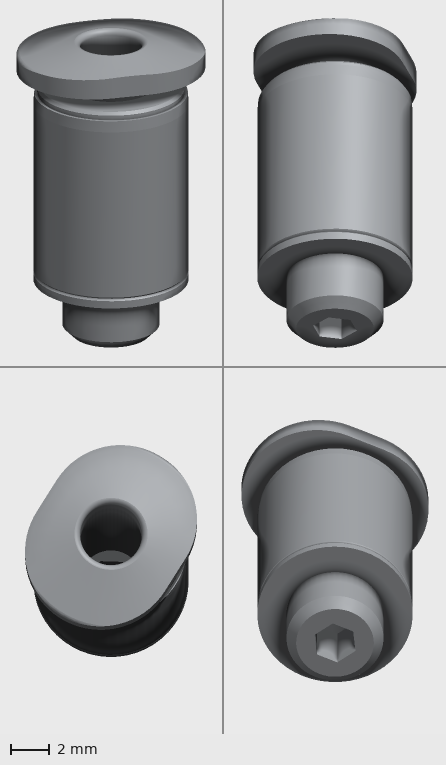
import cadquery as cq
import math

pin_length = 3.0
flange_top = 3.4
groove_height = 0.2
sleeve_cone_start = 12.8
sleeve_top = 13.4
collar_top = 13.8
head_bottom = 14.7
total_height = 16.2

pin_diameter = 5.0
sleeve_diameter = 8.0
groove_diameter = 7.8
sleeve_top_diameter = 7.92
collar_diameter = 7.6
neck_diameter = 4.58

pin_chamfer = 0.5
collar_chamfer = 0.15
neck_fillet = 0.35

head_width = 7.8
head_length = 9.8
head_cone_angle = 10.0
head_edge_radius = 0.2

bore_diameter = 3.17
bore_mouth_radius = 0.3
bore_floor = pin_length
bore_overrun = 1.0
hex_across_flats = 2.0


def turned_body():
    """Pin, flange, grooved sleeve, collar and neck as one revolved profile."""
    pin_radius = pin_diameter / 2
    sleeve_radius = sleeve_diameter / 2
    groove_middle = flange_top + groove_height / 2
    collar_radius = collar_diameter / 2
    neck_radius = neck_diameter / 2
    arc_offset = neck_fillet * (1 - math.sqrt(0.5))
    profile = (
        cq.Workplane("XZ")
        .moveTo(0, 0)
        .lineTo(pin_radius - pin_chamfer, 0)
        .lineTo(pin_radius, pin_chamfer)
        .lineTo(pin_radius, pin_length)
        .lineTo(sleeve_radius, pin_length)
        .lineTo(sleeve_radius, flange_top)
        .lineTo(groove_diameter / 2, groove_middle)
        .lineTo(sleeve_radius, flange_top + groove_height)
        .lineTo(sleeve_radius, sleeve_cone_start)
        .lineTo(sleeve_top_diameter / 2, sleeve_top)
        .lineTo(collar_radius, sleeve_top)
        .lineTo(collar_radius, collar_top - collar_chamfer)
        .lineTo(collar_radius - collar_chamfer, collar_top)
        .lineTo(neck_radius, collar_top)
        .lineTo(neck_radius, head_bottom - neck_fillet)
        .threePointArc(
            (neck_radius + arc_offset, head_bottom - arc_offset),
            (neck_radius + neck_fillet, head_bottom),
        )
        .lineTo(0, head_bottom)
        .close()
    )
    return profile.revolve(360, (0, 0, 0), (0, 1, 0))


def release_head():
    """Oblong plate under a shallow cone whose round outer edge shows only at the two ends."""
    slope = math.tan(math.radians(head_cone_angle))
    rim_radius = head_length / 2
    crest_radius = bore_diameter / 2 + bore_mouth_radius
    apex_height = total_height + crest_radius * slope
    turned_head = (
        cq.Workplane("XZ")
        .moveTo(0, head_bottom)
        .lineTo(rim_radius, head_bottom)
        .lineTo(rim_radius, apex_height - rim_radius * slope)
        .lineTo(0, apex_height)
        .close()
        .revolve(360, (0, 0, 0), (0, 1, 0))
        .edges("%CIRCLE")
        .edges(">Z")
        .fillet(head_edge_radius)
    )
    outline = (
        cq.Workplane("XY", origin=(0, 0, head_bottom))
        .slot2D(head_length, head_width, 90)
        .extrude(total_height - head_bottom)
    )
    return turned_head.intersect(outline)


def tube_bore():
    """Round bore from the top down to its floor, with a rounded mouth."""
    bore_radius = bore_diameter / 2
    mouth_radius = bore_radius + bore_mouth_radius
    arc_offset = bore_mouth_radius * (1 - math.sqrt(0.5))
    above_head = total_height + bore_overrun
    return (
        cq.Workplane("XZ")
        .moveTo(0, bore_floor)
        .lineTo(bore_radius, bore_floor)
        .lineTo(bore_radius, total_height - bore_mouth_radius)
        .threePointArc(
            (bore_radius + arc_offset, total_height - arc_offset),
            (mouth_radius, total_height),
        )
        .lineTo(mouth_radius, above_head)
        .lineTo(0, above_head)
        .close()
        .revolve(360, (0, 0, 0), (0, 1, 0))
    )


def hex_passage():
    """Hexagonal passage through the pin, with its flats facing +X and -X."""
    across_corners = hex_across_flats / math.cos(math.pi / 6)
    return (
        cq.Workplane("XY")
        .transformed(rotate=(0, 0, 90))
        .polygon(6, across_corners)
        .extrude(bore_floor)
    )


result = turned_body().union(release_head()).cut(tube_bore()).cut(hex_passage())